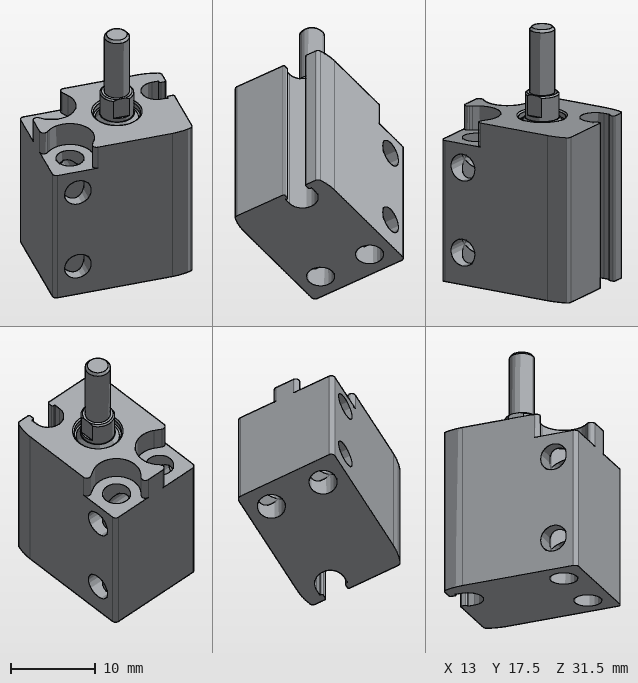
import cadquery as cq
import math


width = 13.0
front_reach = 10.02
back_reach = 7.5
housing_height = 20.5
half_width = width / 2
corner_radius = 0.5
side_curve_radius = 7.0
side_curve_start = 4.8

hole_diameter = 3.3
hole_offset_x = 3.5
hole_y = -7.0
cross_hole_heights = (4.0, 14.55)
seat_depth = 3.0
seat_radius = 2.9
seat_flank_angle = 30
front_flank_angle = 41
seat_floor = housing_height - seat_depth

slot_x = -2.6
slot_radius = 1.85
slot_center_y = 5.83
slot_neck_width = 3.0
slot_lip = 0.85
lip_radius = 0.2

recess_diameter = 5.6
recess_mouth_diameter = 6.0
recess_depth = 0.8
lip_drop = 0.2
lip_top_radius = 2.08
lip_base_radius = 2.55

total_height = 31.5
collar_diameter = 4.0
collar_top = 23.4
collar_chamfer = 0.2
flats_width = 3.5
flats_bottom = 20.82
tip_diameter = 3.0
tip_end_diameter = 2.45
tip_chamfer_height = 0.3
rod_bottom = seat_floor


def cylinder(radius, bottom, top, x=0, y=0):
    return cq.Workplane("XY", origin=(x, y, bottom)).circle(radius).extrude(top - bottom)


def make_block():
    """Rectangular front, and sides that curve inward toward the back."""
    curve_length = back_reach - side_curve_start

    def curve_x(distance):
        inset = side_curve_radius - math.sqrt(side_curve_radius**2 - distance**2)
        return half_width - inset

    middle = (curve_x(curve_length / 2), side_curve_start + curve_length / 2)
    back = (curve_x(curve_length), back_reach)
    return (
        cq.Workplane("XY")
        .moveTo(-half_width, -front_reach)
        .lineTo(half_width, -front_reach)
        .lineTo(half_width, side_curve_start)
        .threePointArc(middle, back)
        .lineTo(-back[0], back_reach)
        .threePointArc((-middle[0], middle[1]), (-half_width, side_curve_start))
        .close()
        .extrude(housing_height)
        .edges("|Z and (<Y or >Y)")
        .fillet(corner_radius)
    )


def make_left_seat_cut():
    """Lowered area around the left hole, bounded by an arc and rounded block corners."""
    center = cq.Vector(-hole_offset_x, hole_y)
    spacing = seat_radius + corner_radius

    def on_circle(middle, radius, degrees):
        angle = math.radians(degrees)
        point = middle + cq.Vector(math.cos(angle), math.sin(angle)) * radius
        return point.x, point.y

    flank_normal = 90 + seat_flank_angle
    flank_start = on_circle(center, seat_radius, flank_normal)
    above_flank = on_circle(center, spacing, flank_normal)
    side_round_x = -half_width + corner_radius
    flank_run = above_flank[0] - side_round_x
    flank_drop = flank_run * math.tan(math.radians(seat_flank_angle))
    side_round = cq.Vector(side_round_x, above_flank[1] - flank_drop)
    flank_end = on_circle(side_round, corner_radius, flank_normal + 180)
    side_round_middle = on_circle(side_round, corner_radius, (flank_normal + 360) / 2)

    arc_end = on_circle(center, seat_radius, -front_flank_angle)
    beside_flank = on_circle(center, spacing, -front_flank_angle)
    front_round_y = -front_reach + corner_radius
    front_flank_drop = beside_flank[1] - front_round_y
    front_flank_run = front_flank_drop * math.tan(math.radians(front_flank_angle))
    front_round = cq.Vector(beside_flank[0] - front_flank_run, front_round_y)
    front_flank_end = on_circle(front_round, corner_radius, 180 - front_flank_angle)
    arc_middle = on_circle(center, seat_radius, (flank_normal - front_flank_angle) / 2)
    front_round_middle = on_circle(front_round, corner_radius, (180 - front_flank_angle + 270) / 2)

    return (
        cq.Workplane("XY", origin=(0, 0, seat_floor))
        .moveTo(-half_width, -front_reach)
        .lineTo(-half_width, side_round.y)
        .threePointArc(side_round_middle, flank_end)
        .lineTo(*flank_start)
        .threePointArc(arc_middle, arc_end)
        .lineTo(*front_flank_end)
        .threePointArc(front_round_middle, (front_round.x, -front_reach))
        .close()
        .extrude(seat_depth)
    )


def make_slot_cut():
    """Round-bottomed slot, open at the back through a narrower neck."""
    lip_y = back_reach - slot_lip
    bulb = cylinder(slot_radius, 0, housing_height, slot_x, slot_center_y)
    bulb_sides = (
        cq.Workplane("XY")
        .center(slot_x, (slot_center_y + lip_y) / 2)
        .rect(2 * slot_radius, lip_y - slot_center_y)
        .extrude(housing_height)
    )
    above_bulb = (
        cq.Workplane("XY")
        .center(slot_x, lip_y + slot_radius)
        .rect(4 * slot_radius, 2 * slot_radius)
        .extrude(housing_height)
    )
    neck = (
        cq.Workplane("XY")
        .center(slot_x, (slot_center_y + back_reach) / 2)
        .rect(slot_neck_width, back_reach - slot_center_y)
        .extrude(housing_height)
    )
    return bulb.union(bulb_sides).cut(above_bulb).union(neck)


def round_slot_lips(housing):
    """Round both corners of the lip on each side of the slot neck."""
    for side in (-1, 1):
        neck_x = slot_x + side * slot_neck_width / 2
        for y in (back_reach, back_reach - slot_lip):
            corner = (neck_x, y, housing_height / 2)
            housing = housing.edges(cq.selectors.NearestToPointSelector(corner)).fillet(lip_radius)
    return housing


def make_recess_cut():
    """Ring-shaped recess with a chamfered mouth around a conical lip."""
    recess_radius = recess_diameter / 2
    mouth_radius = recess_mouth_diameter / 2
    mouth_bottom = housing_height - (mouth_radius - recess_radius)
    floor = housing_height - recess_depth
    lip_top = housing_height - lip_drop
    return (
        cq.Workplane("XZ")
        .polyline(
            [
                (0, housing_height),
                (mouth_radius, housing_height),
                (recess_radius, mouth_bottom),
                (recess_radius, floor),
                (lip_base_radius, floor),
                (lip_top_radius, lip_top),
                (0, lip_top),
            ]
        )
        .close()
        .revolve(360, (0, 0), (0, 1))
    )


def make_housing():
    housing = round_slot_lips(make_block().cut(make_slot_cut()))
    left_seat = make_left_seat_cut()
    housing = housing.cut(left_seat).cut(left_seat.mirror("YZ"))
    for x in (-hole_offset_x, hole_offset_x):
        housing = housing.cut(cylinder(hole_diameter / 2, 0, housing_height, x, hole_y))
    for z in cross_hole_heights:
        cross_hole = (
            cq.Workplane("YZ", origin=(-half_width, hole_y, z))
            .circle(hole_diameter / 2)
            .extrude(width)
        )
        housing = housing.cut(cross_hole)
    rod_bore = cylinder(collar_diameter / 2, rod_bottom, housing_height)
    return housing.cut(make_recess_cut()).cut(rod_bore)


def make_rod():
    """Stepped rod with a chamfered tip and two wrench flats on its collar."""
    collar = cylinder(collar_diameter / 2, rod_bottom, collar_top).faces(">Z").chamfer(collar_chamfer)
    for side in (-1, 1):
        flat_cut = (
            cq.Workplane("XY", origin=(side * (flats_width + collar_diameter) / 2, 0, flats_bottom))
            .rect(collar_diameter, collar_diameter)
            .extrude(collar_top - flats_bottom)
        )
        collar = collar.cut(flat_cut)
    tip_chamfer_width = (tip_diameter - tip_end_diameter) / 2
    tip = cylinder(tip_diameter / 2, collar_top, total_height)
    tip = tip.faces(">Z").edges().chamfer(tip_chamfer_height, tip_chamfer_width)
    return collar.union(tip)


housing = make_housing()
rod = make_rod()
result = cq.Compound.makeCompound([housing.val(), rod.val()])